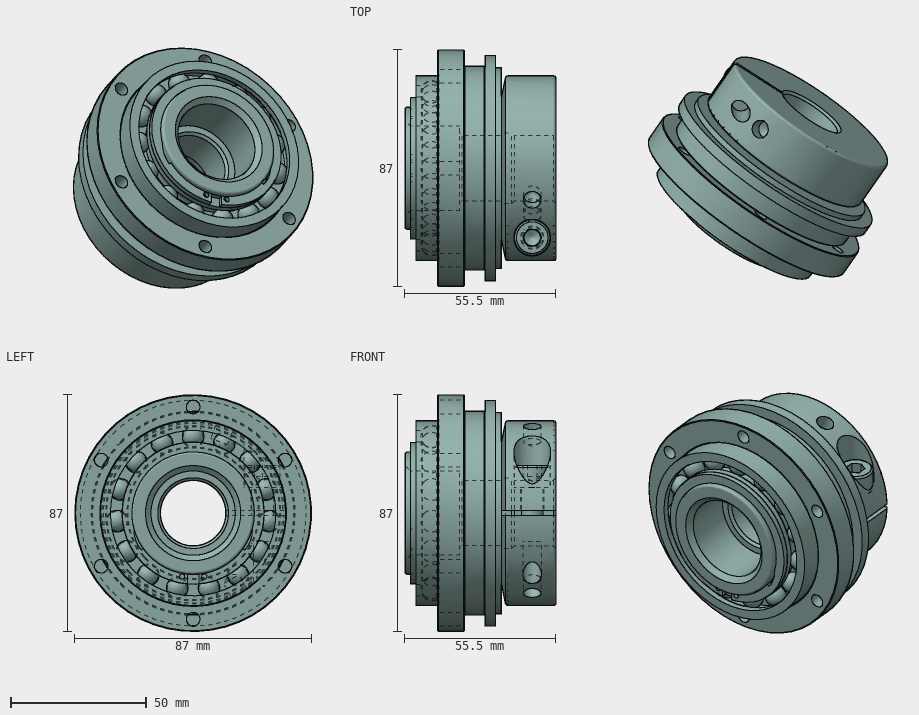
import cadquery as cq
import math


SLEEVE_END = 0.0
SNAP_RING_START = 2.0
BEARING_START = 4.0
FLANGE_START = 12.0
FLANGE_END = 21.8
DISC_START = 29.4
DISC_END = 33.3
PLATE_END = 35.4
HUB_START = 36.9
HUB_END = 55.5

SLEEVE_D = 45.0
SNAP_RING_D = 52.1
BEARING_D = 68.0
FLANGE_D = 87.0
DRUM_D = 75.0
DISC_D = 83.0
PLATE_D = 74.0
HUB_D = 68.0
HUB_CONE_SMALL_D = 52.3
HUB_CONE_LARGE_D = 67.0

SLEEVE_FILLET = 0.9
FLANGE_CHAMFER = 0.3
DRUM_CHAMFER = 0.3
SEAT_CLEARANCE_D = 68.6
SEAT_CLEARANCE_DEPTH = 0.5
HUB_FILLET = 1.0

SLEEVE_BORE_D = 31.0
SLEEVE_BORE_END = 20.0
SLEEVE_BORE_CHAMFER = 2.0
SHAFT_BORE_D = 24.0
SHAFT_BORE_CHAMFER = 1.0
RELIEF_D = 26.0
RELIEF_END = 39.2

RACE_INNER_D = 52.3
RACE_OUTER_D = 60.8
RACE_FLOOR_X = 11.5
RACE_GROOVE_RADIUS = 4.1
BALL_D = 8.0
BALL_PITCH_RADIUS = 28.1
BALL_COUNT = 15
BALL_CENTER_X = 9.85

SNAP_GAP_WIDTH = 4.2
SNAP_EYE_D = 2.0
SNAP_EYE_OFFSET = 4.1
SNAP_EYE_Z = -23.3
SNAP_RELIEF_D = 46.7
SNAP_RELIEF_ANGLES = (15.0, 35.5)

BOLT_HOLE_D = 5.0
BOLT_CIRCLE_RADIUS = 39.0
BOLT_COUNT = 6
FIRST_BOLT_ANGLE = 90.0

SLOT_WIDTH = 1.9
SCREW_X = 46.75
SCREW_Y = -25.5
COUNTERBORE_D = 13.5
HEAD_D = 13.0
HEAD_TOP_Z = 17.5
HEAD_HEIGHT = 8.0
HEAD_BOTTOM_Z = HEAD_TOP_Z - HEAD_HEIGHT
HEAD_CHAMFER = 0.7
SHANK_D = 8.0
SHANK_LENGTH = 20.0
CLEARANCE_D = 8.5
TAP_HOLE_D = 6.8
HEX_SIDES = 6
HEX_ACROSS_FLATS = 6.0
HEX_DEPTH = 4.0
SPANNER_HOLE_D = 6.5
SPANNER_HOLE_FLOOR_RADIUS = 28.0
SPANNER_HOLE_ANGLES = (20.0, 150.0)
DRILL_POINT_ANGLE = 118.0


def ring(start, end, outer_d, inner_d=0.0):
    """Cylinder or ring on the X axis between two axial stations."""
    section = cq.Workplane("YZ", origin=(start, 0, 0)).circle(outer_d / 2)
    if inner_d:
        section = section.circle(inner_d / 2)
    return section.extrude(end - start)


def upright(diameter, bottom_z, top_z):
    """Vertical cylinder on the clamping screw axis."""
    base = cq.Workplane("XY", origin=(SCREW_X, SCREW_Y, bottom_z))
    return base.circle(diameter / 2).extrude(top_z - bottom_z)


def cone(diameter, tip_angle):
    """Cone with its base centred at the origin and its tip toward -Z."""
    radius = diameter / 2
    depth = radius / math.tan(math.radians(tip_angle / 2))
    profile = cq.Workplane("XZ").polyline([(0, 0), (radius, 0), (0, -depth)]).close()
    return profile.revolve(360, (0, 0), (0, 1))


def make_sleeve_end():
    """Rounded end of the sleeve in front of the snap ring."""
    return ring(SLEEVE_END, SNAP_RING_START, SLEEVE_D).faces("<X").edges().fillet(SLEEVE_FILLET)


def make_snap_ring():
    """Snap ring with its gap at the bottom and a plier eye on each side of it."""
    snap = ring(SNAP_RING_START, BEARING_START, SNAP_RING_D)
    thickness = BEARING_START - SNAP_RING_START
    gap_height = (SNAP_RING_D - SLEEVE_D) / 2
    gap = cq.Workplane("XY").box(thickness, SNAP_GAP_WIDTH, gap_height, centered=(False, True, False))
    snap = snap.cut(gap.translate((SNAP_RING_START, 0, -SNAP_RING_D / 2)))
    eyes = (
        cq.Workplane("YZ", origin=(SNAP_RING_START, 0, 0))
        .pushPoints([(-SNAP_EYE_OFFSET, SNAP_EYE_Z), (SNAP_EYE_OFFSET, SNAP_EYE_Z)])
        .circle(SNAP_EYE_D / 2)
        .extrude(thickness)
    )
    snap = snap.cut(eyes)
    for side in (-1, 1):
        snap = snap.cut(make_snap_relief(side))
    return snap


def make_snap_relief(side):
    """Arc-shaped relief just outside the sleeve, low on one side of the snap ring."""

    def point(diameter, angle):
        turn = math.radians(angle)
        return (side * diameter / 2 * math.cos(turn), -diameter / 2 * math.sin(turn))

    first, last = SNAP_RELIEF_ANGLES
    middle = (first + last) / 2
    return (
        cq.Workplane("YZ", origin=(SNAP_RING_START, 0, 0))
        .moveTo(*point(SLEEVE_D, first))
        .threePointArc(point(SLEEVE_D, middle), point(SLEEVE_D, last))
        .lineTo(*point(SNAP_RELIEF_D, last))
        .threePointArc(point(SNAP_RELIEF_D, middle), point(SLEEVE_D, first))
        .close()
        .extrude(BEARING_START - SNAP_RING_START)
    )


def make_housing():
    """Bearing ring, bolt flange, drum, disc and end plate."""
    bearing = ring(BEARING_START, FLANGE_START, BEARING_D)
    flange = ring(FLANGE_START, FLANGE_END, FLANGE_D).edges().chamfer(FLANGE_CHAMFER)
    drum = ring(FLANGE_END, DISC_START, DRUM_D).edges().chamfer(DRUM_CHAMFER)
    disc = ring(DISC_START, DISC_END, DISC_D)
    plate = ring(DISC_END, PLATE_END, PLATE_D)
    housing = bearing.union(flange).union(drum).union(disc).union(plate)
    bolt_holes = (
        cq.Workplane("YZ", origin=(FLANGE_START, 0, 0))
        .polarArray(BOLT_CIRCLE_RADIUS, FIRST_BOLT_ANGLE, 360, BOLT_COUNT)
        .circle(BOLT_HOLE_D / 2)
        .extrude(FLANGE_END - FLANGE_START)
    )
    clearance = ring(FLANGE_START, FLANGE_START + SEAT_CLEARANCE_DEPTH, SEAT_CLEARANCE_D, BEARING_D)
    return housing.cut(bolt_holes).cut(clearance)


def make_race():
    """Annular ball race, open toward -X, with a round groove in its inner and outer wall."""
    inner_r = RACE_INNER_D / 2
    outer_r = RACE_OUTER_D / 2

    def half_chord(offset):
        return math.sqrt(RACE_GROOVE_RADIUS**2 - offset**2)

    inner_edge_x = BALL_CENTER_X - half_chord(BALL_PITCH_RADIUS - inner_r)
    outer_edge_x = BALL_CENTER_X - half_chord(outer_r - BALL_PITCH_RADIUS)
    floor_half_width = half_chord(RACE_FLOOR_X - BALL_CENTER_X)
    return (
        cq.Workplane("XY")
        .moveTo(BEARING_START, inner_r)
        .lineTo(inner_edge_x, inner_r)
        .threePointArc(
            (BALL_CENTER_X, BALL_PITCH_RADIUS - RACE_GROOVE_RADIUS),
            (RACE_FLOOR_X, BALL_PITCH_RADIUS - floor_half_width),
        )
        .lineTo(RACE_FLOOR_X, BALL_PITCH_RADIUS + floor_half_width)
        .threePointArc(
            (BALL_CENTER_X, BALL_PITCH_RADIUS + RACE_GROOVE_RADIUS),
            (outer_edge_x, outer_r),
        )
        .lineTo(BEARING_START, outer_r)
        .close()
        .revolve(360, (0, 0), (1, 0))
    )


def add_balls(part):
    """Seat the ring of balls in the race floor, with a gap centred at the bottom."""
    for index in range(BALL_COUNT):
        turn = 2 * math.pi * index / BALL_COUNT
        y = BALL_PITCH_RADIUS * math.sin(turn)
        z = BALL_PITCH_RADIUS * math.cos(turn)
        ball = cq.Workplane("XY").sphere(BALL_D / 2, direct=(1, 0, 0))
        part = part.union(ball.translate((BALL_CENTER_X, y, z)))
    return part


def make_hub():
    """Clamping hub with a conical neck toward the plate."""
    hub = ring(HUB_START, HUB_END, HUB_D).edges().fillet(HUB_FILLET)
    neck = (
        cq.Workplane("YZ", origin=(PLATE_END, 0, 0))
        .circle(HUB_CONE_SMALL_D / 2)
        .workplane(offset=HUB_START - PLATE_END)
        .circle(HUB_CONE_LARGE_D / 2)
        .loft(ruled=True)
    )
    return hub.union(neck)


def make_bore():
    """Through bore: chamfered sleeve bore, shaft bore and the relief behind the clamping lip."""
    mouth_r = SLEEVE_BORE_D / 2 + SLEEVE_BORE_CHAMFER
    shaft_r = SHAFT_BORE_D / 2
    relief_r = RELIEF_D / 2
    return (
        cq.Workplane("XZ")
        .moveTo(SLEEVE_END, 0)
        .lineTo(SLEEVE_END, mouth_r)
        .lineTo(SLEEVE_END + SLEEVE_BORE_CHAMFER, SLEEVE_BORE_D / 2)
        .lineTo(SLEEVE_BORE_END, SLEEVE_BORE_D / 2)
        .lineTo(SLEEVE_BORE_END, shaft_r + SHAFT_BORE_CHAMFER)
        .lineTo(SLEEVE_BORE_END + SHAFT_BORE_CHAMFER, shaft_r)
        .lineTo(PLATE_END, shaft_r)
        .lineTo(PLATE_END, relief_r)
        .lineTo(RELIEF_END, relief_r)
        .lineTo(RELIEF_END + relief_r - shaft_r, shaft_r)
        .lineTo(HUB_END - SHAFT_BORE_CHAMFER, shaft_r)
        .lineTo(HUB_END, shaft_r + SHAFT_BORE_CHAMFER)
        .lineTo(HUB_END, 0)
        .close()
        .revolve(360, (0, 0), (1, 0))
    )


def make_slot():
    """Clamping slit through the -Y wall of the hub."""
    length = HUB_END - PLATE_END
    slot = cq.Workplane("XY").box(length, HUB_D / 2, SLOT_WIDTH, centered=(False, False, True))
    return slot.translate((PLATE_END, -HUB_D / 2, 0))


def make_spanner_hole(angle):
    """Blind radial hole with a drill point, tilted from +Z toward -Y."""
    length = HUB_D / 2 - SPANNER_HOLE_FLOOR_RADIUS
    hole = cq.Workplane("XY").circle(SPANNER_HOLE_D / 2).extrude(length)
    hole = hole.union(cone(SPANNER_HOLE_D, DRILL_POINT_ANGLE))
    hole = hole.translate((SCREW_X, 0, SPANNER_HOLE_FLOOR_RADIUS))
    return hole.rotate((0, 0, 0), (1, 0, 0), angle)


def make_screw():
    """Socket head clamping screw with a hexagon socket and a drill point below it."""
    head = upright(HEAD_D, HEAD_BOTTOM_Z, HEAD_TOP_Z).faces(">Z").edges().chamfer(HEAD_CHAMFER)
    socket_floor = HEAD_TOP_Z - HEX_DEPTH
    hex_across_corners = HEX_ACROSS_FLATS / math.cos(math.pi / HEX_SIDES)
    socket = (
        cq.Workplane("XY", origin=(SCREW_X, SCREW_Y, socket_floor))
        .polygon(HEX_SIDES, hex_across_corners)
        .extrude(HEX_DEPTH)
    )
    point = cone(HEX_ACROSS_FLATS, DRILL_POINT_ANGLE).translate((SCREW_X, SCREW_Y, socket_floor))
    shank = upright(SHANK_D, HEAD_BOTTOM_Z - SHANK_LENGTH, HEAD_BOTTOM_Z)
    return head.union(shank).cut(socket).cut(point)


def fit_clamp(part):
    """Slit the hub, drill it and fit the clamping screw."""
    part = part.cut(make_slot())
    part = part.cut(upright(COUNTERBORE_D, HEAD_BOTTOM_Z, HUB_D / 2))
    part = part.cut(upright(CLEARANCE_D, 0, HEAD_BOTTOM_Z))
    part = part.cut(upright(TAP_HOLE_D, -HUB_D / 2, 0))
    for angle in SPANNER_HOLE_ANGLES:
        part = part.cut(make_spanner_hole(angle))
    return part.union(make_screw())


body = make_sleeve_end().union(make_snap_ring()).union(make_housing()).union(make_hub())
body = body.cut(make_bore()).cut(make_race())
body = add_balls(body)
result = fit_clamp(body)